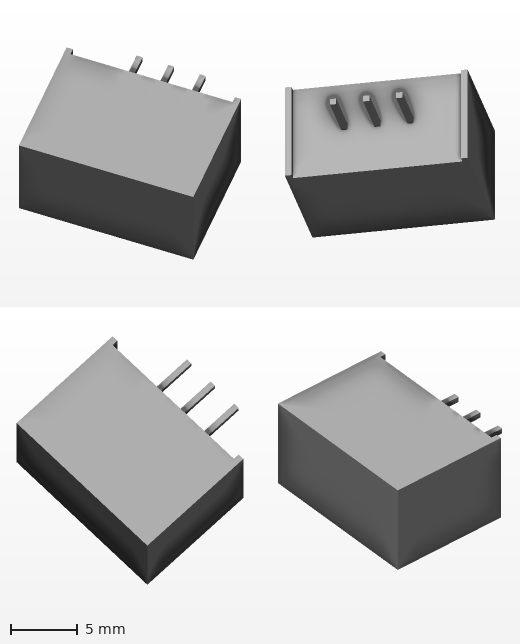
import cadquery as cq

width = 14.0
total_depth = 13.75
height = 7.5
case_depth = 10.1

rail_width = 0.5
rail_depth = 0.5

pin_size = 0.48
pin_pitch = 2.53
pin_count = 3
pin_rise = 0.15

rear_face = case_depth - rail_depth


def make_case():
    block = cq.Workplane("XY").box(width, case_depth, height, centered=(True, False, True))
    recess = (
        cq.Workplane("XY")
        .box(width - 2 * rail_width, rail_depth, height, centered=(True, False, True))
        .translate((0, rear_face, 0))
    )
    return block.cut(recess)


def make_pin(x):
    return (
        cq.Workplane("XY")
        .box(pin_size, total_depth - rear_face, pin_size, centered=(True, False, True))
        .translate((x, rear_face, pin_rise))
    )


result = make_case()
for index in range(pin_count):
    pin_x = (index - (pin_count - 1) / 2) * pin_pitch
    result = result.union(make_pin(pin_x))